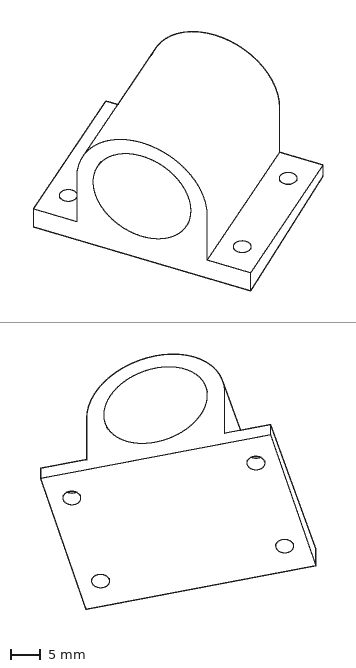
import cadquery as cq
import math

base_width = 40.0
length = 30.0
front_thickness = 4.1
underside_angle = 3.0
back_thickness = front_thickness - length * math.tan(math.radians(underside_angle))

housing_radius = 12.0
bore_diameter = 18.0
axis_above_flange = 10.0

hole_diameter = 3.0
hole_spacing_x = 32.0
hole_spacing_y = 19.0

front_y = -length / 2
back_y = length / 2
axis_z = front_thickness + axis_above_flange


def make_base():
    """Flange with a level top and a sloping underside."""
    side_profile = [
        (front_y, 0),
        (back_y, front_thickness - back_thickness),
        (back_y, front_thickness),
        (front_y, front_thickness),
    ]
    return cq.Workplane("YZ").polyline(side_profile).close().extrude(base_width / 2, both=True)


def make_housing():
    """Upright block with a half-round top, standing on the flange."""
    return (
        cq.Workplane("XZ")
        .moveTo(-housing_radius, front_thickness)
        .lineTo(-housing_radius, axis_z)
        .threePointArc((0, axis_z + housing_radius), (housing_radius, axis_z))
        .lineTo(housing_radius, front_thickness)
        .close()
        .extrude(length / 2, both=True)
    )


def make_bore():
    """Cylinder removed along the full length of the housing."""
    return cq.Workplane("XZ").center(0, axis_z).circle(bore_diameter / 2).extrude(length / 2, both=True)


def make_mounting_holes():
    """Four vertical cylinders removed through the flange."""
    return (
        cq.Workplane("XY")
        .rarray(hole_spacing_x, hole_spacing_y, 2, 2)
        .circle(hole_diameter / 2)
        .extrude(front_thickness)
    )


result = make_base().union(make_housing()).cut(make_bore()).cut(make_mounting_holes())